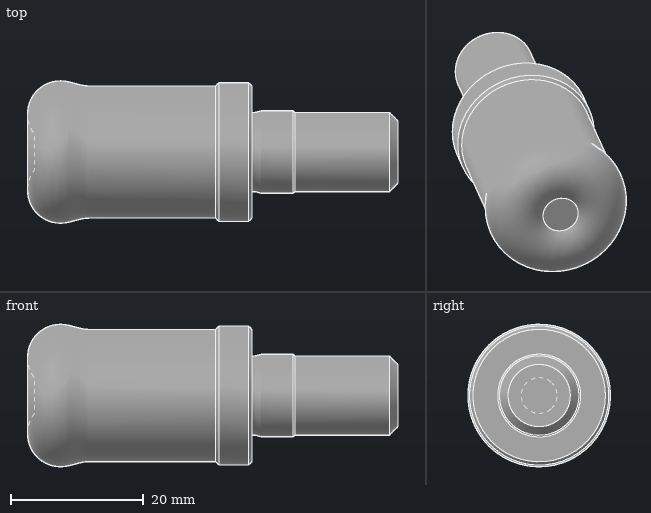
import cadquery as cq
import math


grip_radius = 20 / 2
nose_radius = 21.55 / 2
nose_round = 5.0
flare_blend = 5.5
flare_angle = math.radians(14.5)
dimple_floor_radius = 2.7
sleeve_length = 28.4

collar_radius = 21 / 2
collar_chamfer = 0.5
collar_length = 5.5
seat_radius = 12.5 / 2
seat_end = 6.5
seat_chamfer = 0.35
neck_radius = 12 / 2
neck_length = 0.5
neck_taper_length = 0.9
shank_radius = 12 / 2
shank_chamfer = 1.3
overall_length = 55.94


def revolve_about_x(profile):
    return profile.close().revolve(360, (0, 0, 0), (1, 0, 0))


def make_sleeve():
    round_x = nose_round
    round_r = nose_radius - nose_round

    def on_round(angle):
        """Point on the nose round; the angle is measured from outward towards +X."""
        return (round_x + nose_round * math.sin(angle), round_r + nose_round * math.cos(angle))

    dimple_angle = -math.pi + math.acos((round_r - dimple_floor_radius) / nose_round)
    dimple_edge = on_round(dimple_angle)
    flare_start = on_round(flare_angle)

    blend_drop = flare_blend * (1 - math.cos(flare_angle))
    flare_end_r = grip_radius + blend_drop
    flare_end_x = flare_start[0] + (flare_start[1] - flare_end_r) / math.tan(flare_angle)
    blend_end_x = flare_end_x + flare_blend * math.sin(flare_angle)
    blend_middle = (
        blend_end_x - flare_blend * math.sin(flare_angle / 2),
        grip_radius + flare_blend * (1 - math.cos(flare_angle / 2)),
    )

    profile = (
        cq.Workplane("XY")
        .moveTo(dimple_edge[0], 0)
        .lineTo(*dimple_edge)
        .threePointArc(on_round((dimple_angle + flare_angle) / 2), flare_start)
        .lineTo(flare_end_x, flare_end_r)
        .threePointArc(blend_middle, (blend_end_x, grip_radius))
        .lineTo(sleeve_length, grip_radius)
        .lineTo(sleeve_length, 0)
    )
    return revolve_about_x(profile)


def make_spindle():
    collar_front = sleeve_length
    collar_back = collar_front + collar_length
    neck_end = collar_back + neck_length
    seat_back = collar_back + seat_end
    profile = (
        cq.Workplane("XY")
        .moveTo(collar_front, 0)
        .lineTo(collar_front, collar_radius - collar_chamfer)
        .lineTo(collar_front + collar_chamfer, collar_radius)
        .lineTo(collar_back - collar_chamfer, collar_radius)
        .lineTo(collar_back, collar_radius - collar_chamfer)
        .lineTo(collar_back, neck_radius)
        .lineTo(neck_end, neck_radius)
        .lineTo(neck_end + neck_taper_length, seat_radius)
        .lineTo(seat_back - seat_chamfer, seat_radius)
        .lineTo(seat_back, shank_radius)
        .lineTo(overall_length - shank_chamfer, shank_radius)
        .lineTo(overall_length, shank_radius - shank_chamfer)
        .lineTo(overall_length, 0)
    )
    return revolve_about_x(profile)


sleeve = make_sleeve()
spindle = make_spindle()
result = cq.Compound.makeCompound([sleeve.val(), spindle.val()])